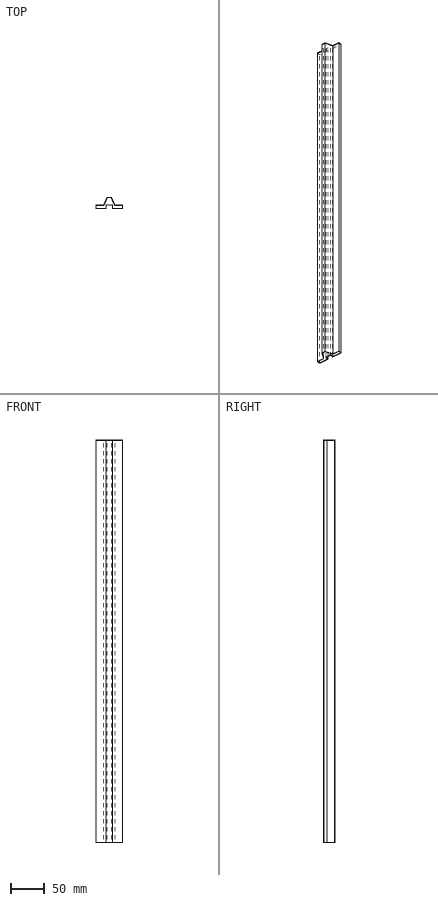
import cadquery as cq

length = 599.5
flange_width = 40.0
total_depth = 17.0

flange_thickness = 5.0
rib_base_width = 17.0
rib_crest_width = 6.0
slot_width = 9.0

front_y = -total_depth / 2
back_y = total_depth / 2
flange_back_y = front_y + flange_thickness

right_half = [
    (0, flange_back_y),
    (slot_width / 2, flange_back_y),
    (slot_width / 2, front_y),
    (flange_width / 2, front_y),
    (flange_width / 2, flange_back_y),
    (rib_base_width / 2, flange_back_y),
    (rib_crest_width / 2, back_y),
    (0, back_y),
]

result = (
    cq.Workplane("XY")
    .polyline(right_half)
    .mirrorY()
    .extrude(length / 2, both=True)
)